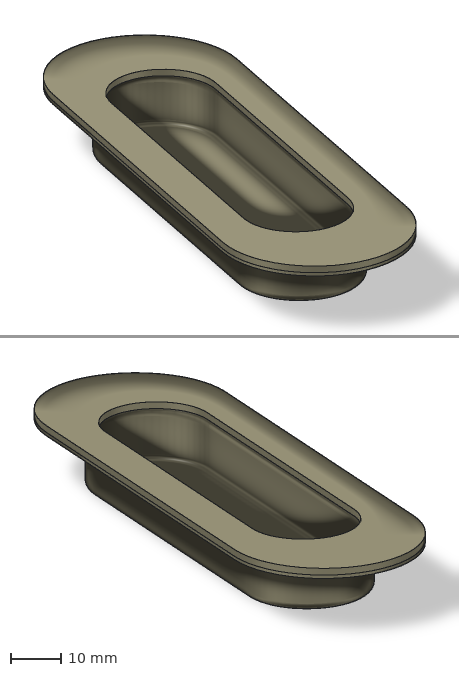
import cadquery as cq

length = 120.0
width = 40.5
height = 14.0

plate_thickness = 1.5
opening_length = 85.0
opening_width = 23.0

sheet_thickness = 0.7
cup_length = 92.0
cup_width = 27.0
base_radius = 1.5
cavity_base_radius = 1.1
rim_radius = 1.9

tray_height = height - plate_thickness
flange_bottom = tray_height - sheet_thickness
cavity_length = cup_length - 2 * sheet_thickness
cavity_width = cup_width - 2 * sheet_thickness
cavity_rim_radius = rim_radius + sheet_thickness


def round_ended_block(block_length, block_width, bottom, top):
    """Upright block with semicircular ends, centred on the Z axis."""
    return (
        cq.Workplane("XY")
        .workplane(offset=bottom)
        .slot2D(block_length, block_width)
        .extrude(top - bottom)
    )


def make_cover_plate():
    """Flat plate with a round-ended opening, resting on the tray flange."""
    plate = round_ended_block(length, width, tray_height, height)
    opening = round_ended_block(opening_length, opening_width, tray_height, height)
    return plate.cut(opening)


def make_tray():
    """Sheet cup with a wide flange, bent at the base and at the rim."""
    cup = round_ended_block(cup_length, cup_width, 0, flange_bottom)
    cup = cup.faces("<Z").edges().fillet(base_radius)
    flange = round_ended_block(length, width, flange_bottom, tray_height)
    body = cup.union(flange)

    cup_box = cq.selectors.BoxSelector(
        (-cup_length, -cup_width / 2 - sheet_thickness, flange_bottom - sheet_thickness / 2),
        (cup_length, cup_width / 2 + sheet_thickness, flange_bottom + sheet_thickness / 2),
        boundingbox=True,
    )
    body = body.edges(cup_box).fillet(rim_radius)

    cavity = round_ended_block(cavity_length, cavity_width, sheet_thickness, tray_height)
    cavity = cavity.faces("<Z").edges().fillet(cavity_base_radius)
    body = body.cut(cavity)

    mouth_box = cq.selectors.BoxSelector(
        (-cup_length, -cup_width / 2, tray_height - sheet_thickness / 2),
        (cup_length, cup_width / 2, tray_height + sheet_thickness / 2),
        boundingbox=True,
    )
    return body.edges(mouth_box).fillet(cavity_rim_radius)


cover_plate = make_cover_plate()
tray = make_tray()

result = cq.Compound.makeCompound([cover_plate.val(), tray.val()])